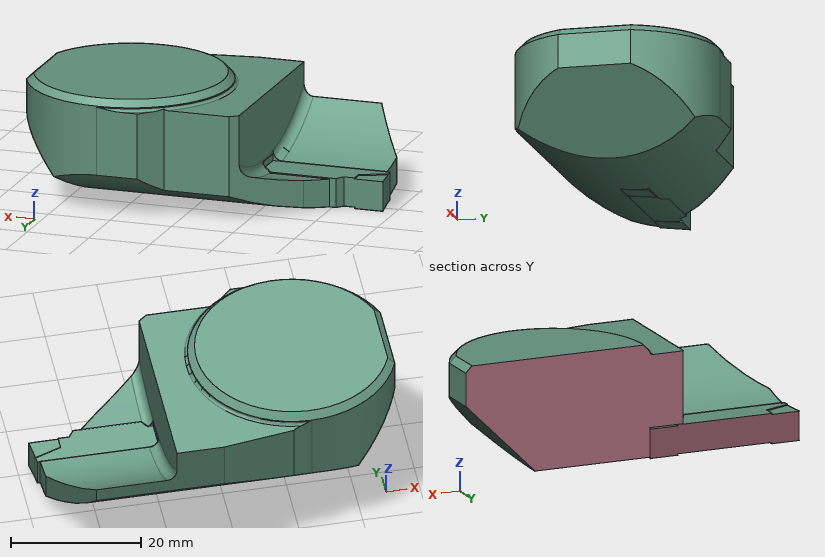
import cadquery as cq
import math

CAP_RADIUS = 16.05
CAP_CHAMFER = 1.05
CAP_FILLET = 0.45
FLAT_X = 15.0

DECK_Z = -1.7
BOTTOM_Z = -18.1
BELLY_RADIUS = 24.5
REAR_CHAMFER_Z = -6.4
FRONT_X = -40.2
NEAR_Y = -18.8
FAR_Y = 12.8
WALL_X = -21.65
FLOOR_Z = -13.65
FLOOR_RADIUS = 30.3
WALL_FILLET = 1.5

INSERT_MID_X = -28.6
INSERT_HALF_LENGTH = 12.5
END_RAKE = 0.45
END_BEND_RAKE = 0.35
END_BEND_Y = -2.45
NECK_HALF = 6.15
WIDE_HALF = 5.35
INSERT_NEAR_Y = -4.2
INSERT_FAR_Y = 0.45
INSERT_WIDE_Y = 1.75
INSERT_TOP_Z = -13.4
SLOT_TOP_Z = -12.3
TIP_LENGTH = 4.6
TIP_NEAR_Z = -17.85
TIP_FAR_Z = -18.35
CHIP_DEPTH = 0.15
CHIP_INNER_Y = -1.55
CHIP_OUTER_Y = -3.15

MARGIN = 5.6
INSERT_FRONT_X = INSERT_MID_X - INSERT_HALF_LENGTH
FULL_LENGTH = FLAT_X - INSERT_FRONT_X


def belly():
    """Long cylinder along X whose lowest line is the bottom of the holder."""
    return (
        cq.Workplane("YZ", origin=(INSERT_FRONT_X - MARGIN, 0, 0))
        .center(0, BOTTOM_Z + BELLY_RADIUS)
        .circle(BELLY_RADIUS)
        .extrude(FULL_LENGTH + 2 * MARGIN)
    )


def holder_blank():
    """Plan outline up to the cap top, rounded under and chamfered at the rear."""
    flat_half = math.sqrt(CAP_RADIUS**2 - FLAT_X**2)
    outline = (
        cq.Workplane("XY", origin=(0, 0, BOTTOM_Z))
        .moveTo(FRONT_X, INSERT_NEAR_Y)
        .lineTo(FRONT_X, -8.75)
        .lineTo(-34.3, NEAR_Y)
        .lineTo(-14.2, NEAR_Y)
        .lineTo(-3.0, -17.1)
        .threePointArc((-1.7, -16.3), (0, -CAP_RADIUS))
        .threePointArc(
            (CAP_RADIUS * math.sin(math.pi / 4), -CAP_RADIUS * math.cos(math.pi / 4)),
            (FLAT_X, -flat_half),
        )
        .lineTo(FLAT_X, flat_half)
        .threePointArc(
            (CAP_RADIUS * math.sin(math.pi / 4), CAP_RADIUS * math.cos(math.pi / 4)),
            (0, CAP_RADIUS),
        )
        .lineTo(-6.55, CAP_RADIUS)
        .lineTo(-9.8, FAR_Y)
        .lineTo(-20.35, FAR_Y)
        .lineTo(-29.75, 4.75)
        .lineTo(-32.9, INSERT_WIDE_Y)
        .lineTo(-32.9, INSERT_NEAR_Y)
        .close()
        .extrude(-BOTTOM_Z)
    )
    chamfer_size = REAR_CHAMFER_Z - BOTTOM_Z
    rear_wedge = (
        cq.Workplane("XZ")
        .moveTo(FLAT_X, REAR_CHAMFER_Z)
        .lineTo(FLAT_X, BOTTOM_Z)
        .lineTo(FLAT_X - chamfer_size, BOTTOM_Z)
        .close()
        .extrude(2 * CAP_RADIUS, both=True)
    )
    return outline.intersect(belly()).cut(rear_wedge)


def cap_surround():
    """Ring of material turned away above the shoulder to leave the round cap."""
    foot_centre_r = CAP_RADIUS + CAP_FILLET
    foot_centre_z = DECK_Z + CAP_FILLET
    diagonal = CAP_FILLET * math.sqrt(0.5)
    return (
        cq.Workplane("XZ")
        .moveTo(CAP_RADIUS - CAP_CHAMFER, 0)
        .lineTo(CAP_RADIUS, -CAP_CHAMFER)
        .lineTo(CAP_RADIUS, foot_centre_z)
        .threePointArc(
            (foot_centre_r - diagonal, foot_centre_z - diagonal),
            (foot_centre_r, DECK_Z),
        )
        .lineTo(FULL_LENGTH, DECK_Z)
        .lineTo(FULL_LENGTH, 0)
        .close()
        .revolve(360, (0, 0, 0), (0, 1, 0))
    )


def flat_chamfer():
    """Wedge that carries the cap chamfer along the rear flat."""
    return (
        cq.Workplane("XZ")
        .moveTo(FLAT_X, -CAP_CHAMFER)
        .lineTo(FLAT_X, 0)
        .lineTo(FLAT_X - CAP_CHAMFER, 0)
        .close()
        .extrude(CAP_RADIUS, both=True)
    )


def nose_clearance():
    """Space above the nose: hollow floor blending into the wall with a fillet."""
    half_width = 22.45
    edge_z = FLOOR_Z + FLOOR_RADIUS - math.sqrt(FLOOR_RADIUS**2 - half_width**2)
    return (
        cq.Workplane("YZ", origin=(WALL_X, 0, 0))
        .moveTo(-half_width, MARGIN)
        .lineTo(-half_width, edge_z)
        .threePointArc((0, FLOOR_Z), (half_width, edge_z))
        .lineTo(half_width, MARGIN)
        .close()
        .extrude(INSERT_FRONT_X - MARGIN - WALL_X)
        .faces(">X")
        .edges("%CIRCLE")
        .fillet(WALL_FILLET)
    )


def insert_prism(bottom_z, top_z):
    """Upright prism on the insert outline, symmetric end to end."""
    half_near = INSERT_HALF_LENGTH - END_RAKE
    half_bend = INSERT_HALF_LENGTH - END_BEND_RAKE
    return (
        cq.Workplane("XY", origin=(INSERT_MID_X, 0, bottom_z))
        .polyline([
            (-half_near, INSERT_NEAR_Y),
            (half_near, INSERT_NEAR_Y),
            (half_bend, END_BEND_Y),
            (INSERT_HALF_LENGTH, INSERT_FAR_Y),
            (NECK_HALF, INSERT_FAR_Y),
            (WIDE_HALF, INSERT_WIDE_Y),
            (-WIDE_HALF, INSERT_WIDE_Y),
            (-NECK_HALF, INSERT_FAR_Y),
            (-INSERT_HALF_LENGTH, INSERT_FAR_Y),
            (-half_bend, END_BEND_Y),
        ])
        .close()
        .extrude(top_z - bottom_z)
    )


def mirrored_pair(front):
    """The given front shape and its mirror image at the other insert end."""
    return front.union(front.mirror("YZ", (INSERT_MID_X, 0, 0)))


def make_insert():
    """Insert flush with the belly in the middle, with a deeper tip at each end."""
    blank = insert_prism(TIP_FAR_Z, INSERT_TOP_Z)
    tip_zone = mirrored_pair(
        cq.Workplane("YZ", origin=(INSERT_FRONT_X, 0, 0))
        .polyline([
            (INSERT_NEAR_Y, INSERT_TOP_Z),
            (INSERT_NEAR_Y, TIP_NEAR_Z),
            (INSERT_FAR_Y, TIP_FAR_Z),
            (INSERT_FAR_Y, INSERT_TOP_Z),
        ])
        .close()
        .extrude(TIP_LENGTH)
    )
    inner_x = INSERT_FRONT_X + TIP_LENGTH
    chip_faces = mirrored_pair(
        cq.Workplane("XY", origin=(0, 0, INSERT_TOP_Z - CHIP_DEPTH))
        .polyline([
            (INSERT_FRONT_X, INSERT_FAR_Y),
            (inner_x, INSERT_FAR_Y),
            (inner_x, CHIP_INNER_Y),
            (INSERT_FRONT_X + END_RAKE, CHIP_OUTER_Y),
            (INSERT_FRONT_X, CHIP_OUTER_Y),
        ])
        .close()
        .extrude(CHIP_DEPTH)
    )
    return blank.intersect(belly().union(tip_zone)).cut(chip_faces)


def make_holder():
    """Holder with its cap, lowered nose and the seat that receives the insert."""
    seat = insert_prism(BOTTOM_Z - MARGIN, INSERT_TOP_Z)
    ahead_of_wall = cq.Workplane("XY").box(FULL_LENGTH, FULL_LENGTH, FULL_LENGTH).translate(
        (WALL_X - FULL_LENGTH / 2, 0, 0)
    )
    slot = insert_prism(INSERT_TOP_Z, SLOT_TOP_Z).intersect(ahead_of_wall)
    return (
        holder_blank()
        .cut(nose_clearance())
        .cut(cap_surround())
        .cut(flat_chamfer())
        .cut(seat)
        .cut(slot)
    )


holder = make_holder()
insert = make_insert()
result = cq.Compound.makeCompound([holder.solids().val(), insert.solids().val()])